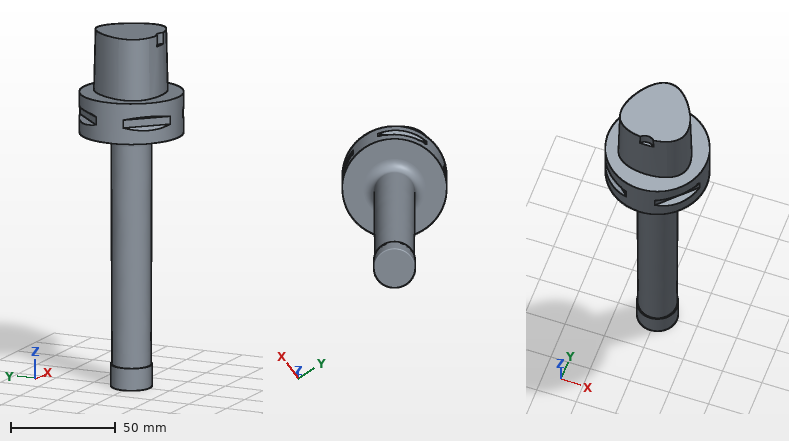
import cadquery as cq
import math

total_height = 175.0
taper_height = 30.0
flange_height = 20.0
flange_diameter = 50.0
flange_top = total_height - taper_height
flange_bottom = flange_top - flange_height

lobe_mean_radius = 17.5
lobe_offset = 1.4
taper_ratio = 1 / 20
taper_top_radius = lobe_mean_radius - taper_height * taper_ratio / 2
face_count = 6
face_angle = 2 * math.pi / face_count
key_width = 7.0
key_height = 5.5
key_depth = 1.5

notch_count = 4
notch_floor_distance = 22.0
notch_floor_height = 3.9
notch_outer_height = 6.8
notch_center_z = flange_top - flange_height / 2

shank_top_diameter = 19.6
neck_diameter = 18.9
root_fillet = 5.0
neck_height = 7.0
head_diameter = 20.0
head_height = 11.0
head_edge_round = 0.5
neck_top = head_height + neck_height


def lobed_wire(mean_radius, z):
    """Closed trochoid with one lobe towards +Y, split into six equal faces."""
    def point(angle):
        along_lobe = mean_radius * math.cos(angle) + lobe_offset * math.cos(2 * angle)
        across_lobe = mean_radius * math.sin(angle) - lobe_offset * math.sin(2 * angle)
        return cq.Vector(-across_lobe, along_lobe, z)

    edges = []
    steps_per_face = 6
    for face in range(face_count):
        start = (face - 0.5) * face_angle
        points = [point(start + step * face_angle / steps_per_face) for step in range(steps_per_face + 1)]
        edges.append(cq.Edge.makeSpline(points))
    return cq.Wire.assembleEdges(edges)


def make_coupling():
    """Tapered lobed coupling with a round-backed key recess in its -Y face."""
    base = lobed_wire(lobe_mean_radius, flange_top)
    top = lobed_wire(taper_top_radius, total_height)
    coupling = cq.Workplane(cq.Solid.makeLoft([base, top], True))
    recess_radius = ((key_width / 2) ** 2 + key_depth ** 2) / (2 * key_depth)
    recess_center_y = -(taper_top_radius - lobe_offset) + key_depth - recess_radius
    recess = (
        cq.Workplane("XY", origin=(0, recess_center_y, total_height - key_height))
        .circle(recess_radius)
        .extrude(key_height)
    )
    return coupling.cut(recess)


def make_gripper_notch():
    """Flat-floored notch with sloping sides, facing +X and centered on Z = 0."""
    flange_radius = flange_diameter / 2
    floor_half = notch_floor_height / 2
    outer_half = notch_outer_height / 2
    return (
        cq.Workplane("XZ")
        .polyline([
            (notch_floor_distance, -floor_half),
            (flange_radius, -outer_half),
            (flange_radius, outer_half),
            (notch_floor_distance, floor_half),
        ])
        .close()
        .extrude(flange_radius, both=True)
    )


def make_flange():
    """Round flange with a gripper notch on each diagonal."""
    flange = (
        cq.Workplane("XY", origin=(0, 0, flange_bottom))
        .circle(flange_diameter / 2)
        .extrude(flange_height)
    )
    notch = make_gripper_notch().translate((0, 0, notch_center_z))
    for index in range(notch_count):
        angle = (index + 0.5) * 360 / notch_count
        flange = flange.cut(notch.rotate((0, 0, 0), (0, 0, 1), angle))
    return flange


def make_shank():
    """Slightly tapered shank with a straight neck and a filleted root."""
    root_radius = shank_top_diameter / 2
    neck_radius = neck_diameter / 2
    root_arc_middle = (
        root_radius + root_fillet * (1 - math.sqrt(0.5)),
        flange_bottom - root_fillet * (1 - math.sqrt(0.5)),
    )
    return (
        cq.Workplane("XZ")
        .moveTo(0, head_height)
        .lineTo(neck_radius, head_height)
        .lineTo(neck_radius, neck_top)
        .lineTo(root_radius, flange_bottom - root_fillet)
        .threePointArc(root_arc_middle, (root_radius + root_fillet, flange_bottom))
        .lineTo(0, flange_bottom)
        .close()
        .revolve(360, (0, 0), (0, 1))
    )


def make_holder():
    """Coupling, flange and shank as one solid."""
    return make_flange().union(make_coupling()).union(make_shank())


def make_cutting_head():
    """Round head on the end of the neck, with a rounded lower edge."""
    return (
        cq.Workplane("XY")
        .circle(head_diameter / 2)
        .extrude(head_height)
        .faces("<Z")
        .edges()
        .fillet(head_edge_round)
    )


holder = make_holder()
cutting_head = make_cutting_head()
result = cq.Compound.makeCompound([holder.val(), cutting_head.val()])